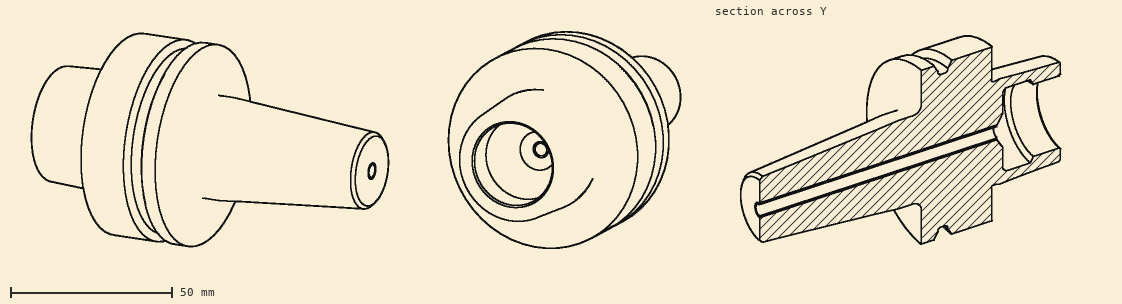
import cadquery as cq
import math

overall_length = 110.0
taper_end = 22.3
neck_start = 23.6
flange_start = 25.0
flange_end = 50.9
groove_center = 43.0
nose_cylinder_end = 59.1

shank_tip_radius = 18.0
shank_taper_radius = 19.1
neck_radius = 18.8
flange_diameter = 63.0
flange_radius = flange_diameter / 2
nose_radius = 16.1
nose_tip_radius = 12.0

shank_round = 1.1
neck_fillet = 0.5
face_recess_radius = 20.9
face_recess_depth = 0.2
nose_fillet = 3.0
nose_chamfer = 1.1

groove_slot_width = 3.5
groove_slot_radius = 29.0
groove_floor_radius = 27.7
groove_fillet = 1.0
groove_flank_angle = 30.0

mouth_radius = 13.0
mouth_chamfer = 0.5
clamp_recess_start = 10.0
clamp_recess_radius = 15.0
clamp_shoulder_length = 1.1
bore_depth = 21.1
bore_floor_fillet = 1.9

cone_radius = 6.0
cone_half_angle = 59.0
bush_radius = 2.5
bush_hole_radius = 2.0

cone_depth = (cone_radius - bush_radius) / math.tan(math.radians(cone_half_angle))
bush_start = bore_depth + cone_depth


def revolve_about_axis(profile):
    """Turn a closed (x, radius) profile a full revolution about the X axis."""
    return profile.close().revolve(360, (0, 0, 0), (1, 0, 0))


def make_outside():
    """Shank taper, flange and nose as one turned blank."""
    fillet_edge = math.sqrt(0.5) * neck_fillet
    face_bottom = flange_start + face_recess_depth
    fillet_center = (face_bottom - neck_fillet, neck_radius + neck_fillet)
    nose_fillet_center = (flange_end + nose_fillet, nose_radius + nose_fillet)
    nose_fillet_edge = math.sqrt(0.5) * nose_fillet
    profile = (
        cq.Workplane("XY")
        .moveTo(0, 0)
        .lineTo(0, shank_tip_radius)
        .lineTo(taper_end, shank_taper_radius)
        .lineTo(neck_start, neck_radius)
        .lineTo(fillet_center[0], neck_radius)
        .threePointArc(
            (fillet_center[0] + fillet_edge, fillet_center[1] - fillet_edge),
            (face_bottom, fillet_center[1]),
        )
        .lineTo(flange_start, face_recess_radius)
        .lineTo(flange_start, flange_radius)
        .lineTo(flange_end, flange_radius)
        .lineTo(flange_end, nose_fillet_center[1])
        .threePointArc(
            (nose_fillet_center[0] - nose_fillet_edge, nose_fillet_center[1] - nose_fillet_edge),
            (nose_fillet_center[0], nose_radius),
        )
        .lineTo(nose_cylinder_end, nose_radius)
        .lineTo(overall_length - nose_chamfer, nose_tip_radius)
        .lineTo(overall_length, nose_tip_radius - nose_chamfer)
        .lineTo(overall_length, 0)
    )
    blank = revolve_about_axis(profile)
    return blank.faces("<X").edges().fillet(shank_round)


def make_groove():
    """Ring removed from the flange: sloped flanks above a slot with round floor corners."""
    slot_half = groove_slot_width / 2
    flank_run = (flange_radius - groove_slot_radius) * math.tan(math.radians(groove_flank_angle))
    mouth_half = slot_half + flank_run
    floor_half = slot_half - groove_fillet
    corner_radius = groove_floor_radius + groove_fillet
    corner_inset = groove_fillet * (1 - math.sqrt(0.5))
    profile = (
        cq.Workplane("XY")
        .moveTo(groove_center - mouth_half, flange_radius)
        .lineTo(groove_center - slot_half, groove_slot_radius)
        .lineTo(groove_center - slot_half, corner_radius)
        .threePointArc(
            (groove_center - slot_half + corner_inset, groove_floor_radius + corner_inset),
            (groove_center - floor_half, groove_floor_radius),
        )
        .lineTo(groove_center + floor_half, groove_floor_radius)
        .threePointArc(
            (groove_center + slot_half - corner_inset, groove_floor_radius + corner_inset),
            (groove_center + slot_half, corner_radius),
        )
        .lineTo(groove_center + slot_half, groove_slot_radius)
        .lineTo(groove_center + mouth_half, flange_radius)
    )
    return revolve_about_axis(profile)


def make_clamping_bore():
    """Chamfered mouth, wider clamping recess, and a cone leading into the coolant passage."""
    corner_inset = bore_floor_fillet * (1 - math.sqrt(0.5))
    profile = (
        cq.Workplane("XY")
        .moveTo(0, 0)
        .lineTo(0, mouth_radius + mouth_chamfer)
        .lineTo(mouth_chamfer, mouth_radius)
        .lineTo(clamp_recess_start, mouth_radius)
        .lineTo(clamp_recess_start + clamp_shoulder_length, clamp_recess_radius)
        .lineTo(bore_depth - bore_floor_fillet, clamp_recess_radius)
        .threePointArc(
            (bore_depth - corner_inset, clamp_recess_radius - corner_inset),
            (bore_depth, clamp_recess_radius - bore_floor_fillet),
        )
        .lineTo(bore_depth, cone_radius)
        .lineTo(bush_start, bush_radius)
        .lineTo(bush_start, 0)
    )
    return revolve_about_axis(profile)


def make_passage(radius):
    """Cylinder along the axis from the foot of the cone to the nose end."""
    return cq.Workplane("YZ", origin=(bush_start, 0, 0)).circle(radius).extrude(overall_length - bush_start)


def make_holder():
    """Tool holder with its groove, clamping bore and coolant passage."""
    return make_outside().cut(make_groove()).cut(make_clamping_bore()).cut(make_passage(bush_radius))


def make_bush():
    """Plain bush filling the coolant passage of the holder."""
    return make_passage(bush_radius).cut(make_passage(bush_hole_radius))


holder = make_holder()
bush = make_bush()

result = cq.Compound.makeCompound([holder.val(), bush.val()])